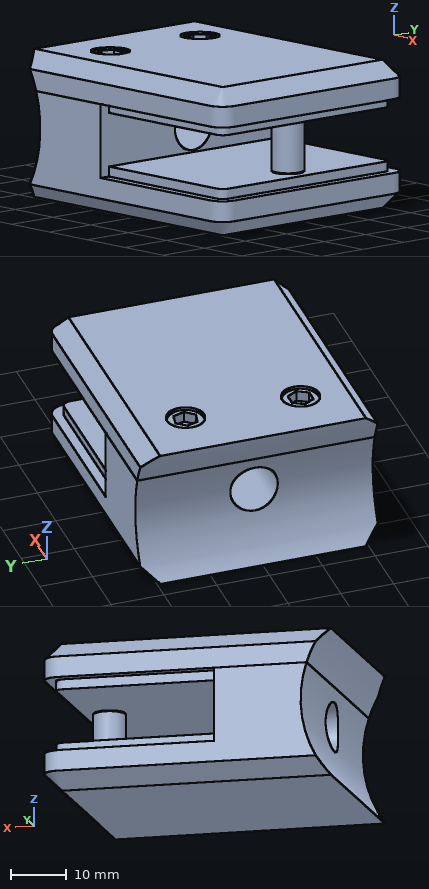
import cadquery as cq
import math

LENGTH = 52.85
WIDTH = 45.0
HEIGHT = 27.0
EDGE_CHAMFER = 3.0
CORNER_RADIUS = 3.05

POST_RADIUS = 21.2
POST_AXIS_X = -LENGTH / 2 - math.sqrt(POST_RADIUS**2 - (HEIGHT / 2) ** 2)

SLOT_HEIGHT = 13.4
SLOT_DEPTH = 32.0
PAD_GAP = 9.8
PAD_THICKNESS = (SLOT_HEIGHT - PAD_GAP) / 2
PAD_MARGIN = 2.0
PAD_CORNER_RADIUS = 1.6

BOLT_HOLE_DIAMETER = 9.0

PIN_DIAMETER = 5.95
PIN_CHAMFER = 0.2
PIN_X = LENGTH / 2 - 7.0

SCREW_DIAMETER = 7.0
SCREW_X = -15.65
SCREW_SPACING = 21.8
SCREW_RECESS = 0.25
SCREW_EDGE_FILLET = 0.65
SOCKET_ACROSS_CORNERS = 4.65
SOCKET_DEPTH = 2.0
SOCKET_TURNS = {-1: 0.0, 1: -12.0}
SOCKET_SIDES = 6

COVER_THICKNESS = (HEIGHT - SLOT_HEIGHT) / 2
SLOT_X = LENGTH / 2 - SLOT_DEPTH
SPLIT_Z = SLOT_HEIGHT / 2
SCREW_TOP_Z = HEIGHT / 2 - SCREW_RECESS


def make_block():
    """Solid outer shape with rounded, chamfered jaw ends and the concave post seat."""
    block = cq.Workplane("XY").box(LENGTH, WIDTH, HEIGHT)
    block = block.edges("|Z and >X").fillet(CORNER_RADIUS)
    block = block.faces("<Z or >Z").edges("not <X").chamfer(EDGE_CHAMFER)
    post = cq.Workplane("XZ", origin=(POST_AXIS_X, WIDTH / 2, 0)).circle(POST_RADIUS).extrude(WIDTH)
    return block.cut(post)


def make_slice(bottom_z, top_z):
    """Slab as wide and long as the clamp, between two heights."""
    slab = cq.Workplane("XY").workplane(offset=bottom_z)
    return slab.rect(LENGTH, WIDTH).extrude(top_z - bottom_z)


def make_pad(bottom_z):
    """Flat pad that runs from the slot's end wall towards the jaw tip."""
    pad_length = SLOT_DEPTH - PAD_MARGIN
    pad = (
        cq.Workplane("XY")
        .workplane(offset=bottom_z)
        .center(SLOT_X + pad_length / 2, 0)
        .rect(pad_length, WIDTH - 2 * PAD_MARGIN)
        .extrude(PAD_THICKNESS)
    )
    return pad.edges("|Z and >X").fillet(PAD_CORNER_RADIUS)


def make_base():
    """Lower jaw and post block, with the slot, the bolt hole and the lower pad."""
    base = make_block().intersect(make_slice(-HEIGHT / 2, SPLIT_Z))
    slot = make_slice(-SPLIT_Z, SPLIT_Z).translate((SLOT_X + LENGTH / 2, 0, 0))
    bolt_hole = (
        cq.Workplane("YZ")
        .workplane(offset=-LENGTH / 2)
        .circle(BOLT_HOLE_DIAMETER / 2)
        .extrude(LENGTH - SLOT_DEPTH)
    )
    return base.cut(slot).cut(bolt_hole).union(make_pad(-SPLIT_Z))


def make_cover():
    """Upper jaw plate with its pad and the two screw holes."""
    cover = make_block().intersect(make_slice(SPLIT_Z, HEIGHT / 2))
    cover = cover.union(make_pad(SPLIT_Z - PAD_THICKNESS))
    screw_holes = (
        cq.Workplane("XY")
        .workplane(offset=SPLIT_Z)
        .center(SCREW_X, 0)
        .rarray(0.55, SCREW_SPACING, 1, 2)
        .circle(SCREW_DIAMETER / 2)
        .extrude(COVER_THICKNESS)
    )
    return cover.cut(screw_holes)


def make_screw(side):
    """Screw with a hex socket, slightly below the cover's top, on the -Y (-1) or +Y (1) side."""
    screw = cq.Workplane("XY").circle(SCREW_DIAMETER / 2).extrude(SCREW_TOP_Z - SPLIT_Z)
    screw = screw.faces(">Z").edges().fillet(SCREW_EDGE_FILLET)
    socket = (
        cq.Workplane("XY")
        .workplane(offset=SCREW_TOP_Z - SPLIT_Z - SOCKET_DEPTH)
        .polygon(SOCKET_SIDES, SOCKET_ACROSS_CORNERS)
        .extrude(SOCKET_DEPTH)
        .rotate((0, 0, 0), (0, 0, 1), SOCKET_TURNS[side])
    )
    return screw.cut(socket).translate((SCREW_X, side * SCREW_SPACING / 2, SPLIT_Z))


def make_pin():
    """Round pin with chamfered ends that spans the gap between the pads."""
    pin = cq.Workplane("XY").workplane(offset=-PAD_GAP / 2).circle(PIN_DIAMETER / 2).extrude(PAD_GAP)
    return pin.edges("%CIRCLE").chamfer(PIN_CHAMFER).translate((PIN_X, 0, 0))


base = make_base()
cover = make_cover()
screws = [make_screw(side) for side in SOCKET_TURNS]
pin = make_pin()

result = cq.Compound.makeCompound([base.val(), cover.val(), *[screw.val() for screw in screws], pin.val()])